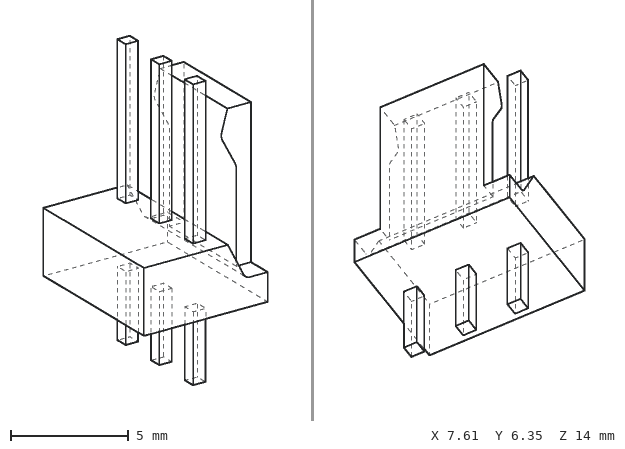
import cadquery as cq

pin_length = 13.97
pin_side = 0.64
pin_pitch = 2.54
pin_count = 3

base_width = 7.61
base_depth = 6.35
base_bottom = 3.42
base_height = 3.16
base_top = base_bottom + base_height
back_y = 2.88
front_y = back_y - base_depth

ledge_top = base_bottom + 1.38
ledge_depth = 1.15
slope_top_depth = 2.05
ledge_fillet = 0.38

latch_width = 5.09
latch_thickness = 0.75
latch_top = 12.24
lip_top_depth = 1.22
lip_depth = 1.56
lip_nose_z = latch_top - 1.25
lip_root_z = latch_top - 2.77
nose_radius = 0.5
root_radius = 0.74


def extrude_profile(points, width):
    """Extrude a closed (Y, Z) outline along X, centred on the middle plane."""
    return cq.Workplane("YZ").polyline(points).close().extrude(width / 2, both=True)


def round_edge(body, y, z, radius):
    """Round the edge along X that passes through the given (Y, Z) corner."""
    return body.edges(cq.selectors.NearestToPointSelector((0, y, z))).fillet(radius)


def make_base():
    outline = [
        (front_y, base_bottom),
        (back_y, base_bottom),
        (back_y, ledge_top),
        (back_y - ledge_depth, ledge_top),
        (back_y - slope_top_depth, base_top),
        (front_y, base_top),
    ]
    base = extrude_profile(outline, base_width)
    return round_edge(base, back_y - ledge_depth, ledge_top, ledge_fillet)


def make_latch():
    wall_front_y = back_y - latch_thickness
    nose_y = back_y - lip_depth
    outline = [
        (back_y, ledge_top),
        (back_y, latch_top),
        (back_y - lip_top_depth, latch_top),
        (nose_y, lip_nose_z),
        (wall_front_y, lip_root_z),
        (wall_front_y, ledge_top),
    ]
    latch = extrude_profile(outline, latch_width)
    latch = round_edge(latch, nose_y, lip_nose_z, nose_radius)
    return round_edge(latch, wall_front_y, lip_root_z, root_radius)


def make_pin(x):
    pin = cq.Workplane("XY").rect(pin_side, pin_side).extrude(pin_length)
    return pin.translate((x, 0, 0))


result = make_base().union(make_latch())
for index in range(pin_count):
    pin_x = (index - (pin_count - 1) / 2) * pin_pitch
    result = result.union(make_pin(pin_x))